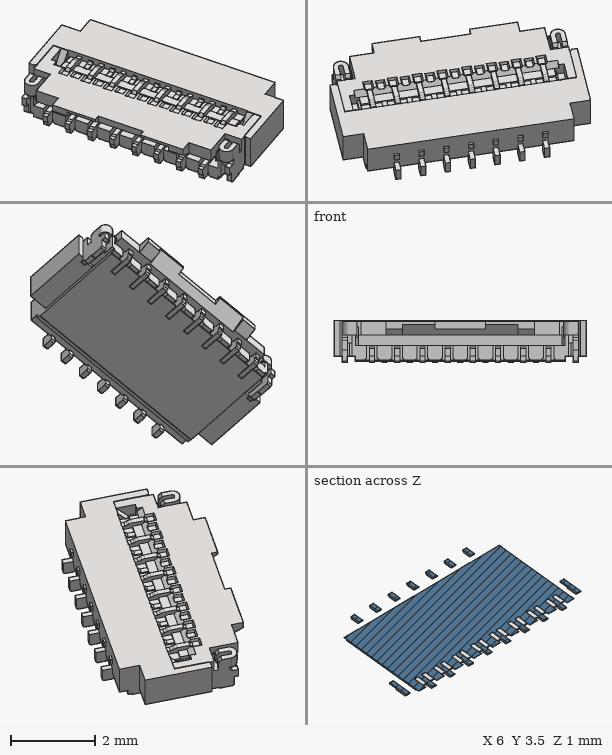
import cadquery as cq


WIDTH = 6.0
HEIGHT = 1.0
FRONT_Y = -1.75
REAR_Y = 1.75
OVERLAP = 0.05

CORE_HALF = 2.5
CORE_REAR_Y = 1.5
CORE_BOTTOM = 0.03
CORE_FRONT_Y = -1.35
DECK_Z = 0.65
REAR_STEP_Z = 0.2
REAR_STEP_Y = 1.29
REAR_FOOT_Z = 0.06
REAR_FOOT_Y = 1.2
EAR_REAR_Y = 1.0
EAR_FRONT_Y = -0.65
EAR_BOTTOM = 0.147
EAR_BEVEL = 0.05
CHEEK_HALF = 2.57
FRONT_TOE_Z = 0.06
FRONT_TOE_Y = -1.25
SHELF_BOTTOM = 0.47
SHELF_FRONT_Y = -1.25
SHELF_WALL_HALF = 2.635
SHELF_WALL_Y = -1.1

RECESS_BACK_Y = -1.0
RECESS_BOTTOM = 0.4
RECESS_FRONT_HALF = 2.49
RECESS_BACK_HALF = 2.42
SLOT_BACK_Y = -0.95
SLOT_WIDTH = 0.25
SLOT_FLARE = 0.05

LOCK_TOP = 0.98
LOCK_HALF = 2.81
LOCK_REAR_Y = 0.228
ARM_FRONT_Y = -0.752
LOCK_MID_HALF = 2.364
LOCK_MID_Y = -1.457
FLAP_HALF = 1.767
FLAP_LIP_Z = 0.8
RELIEF_HALF = 1.377
RELIEF_LIP_Z = 0.91
RELIEF_BACK_Y = -1.4
NOTCH_HALF = 0.605
NOTCH_Y = -1.6

RIB_HALF = 2.42
RIB_TOP_Y = -1.3
RIB_TOP_Z = 0.84

WINDOW_HALF = 2.416
WINDOW_FLOOR_HALF = 2.364
WINDOW_REAR_Y = 0.242
WINDOW_STEP_Y = -0.03
WINDOW_FRONT_Y = -0.25
FLOOR_REAR_Z = 0.815
FLOOR_FRONT_Z = 0.865
BEVEL_HALF = 2.47
BEVEL_FRONT_Y = -0.39
HINGE_HALF = 2.6
HINGE_RAMP_Y = -0.06
LEDGE_Z = 0.76

POCKET_BACK_Y = -0.32
POCKET_DEPTH = 0.06
POCKET_TAPER = 30
POCKET_CORNER = 0.045
FRONT_POCKET_WIDTH = 0.235
FRONT_POCKET_Y = -0.61
REAR_POCKET_WIDTH = 0.225
REAR_POCKET_Y = -0.585

PITCH = 0.6
FRONT_COUNT = 8
REAR_COUNT = FRONT_COUNT - 1
CONTACT_WIDTH = 0.125
BEAM_ROOT_Z = FLOOR_REAR_Z - OVERLAP
BEAM_REAR_Y = WINDOW_REAR_Y + OVERLAP
FRONT_BEAM_REAR_Z = 0.92
FRONT_BEAM_RISE = [
    (0.15, FRONT_BEAM_REAR_Z),
    (0.094, 0.94),
    (0.05, 0.965),
    (-0.015, LOCK_TOP),
]
FRONT_BEAM_BEND_Y = -0.33
FRONT_BEAM_TIP_Y = -0.41
FRONT_TAIL_TIP_Y = -1.5
FRONT_TAIL_REAR_Z = 0.37
FRONT_TAIL_TOP = 0.33
FRONT_TAIL_RAMP_Y = -1.36
FRONT_TAIL_STEP_Z = 0.16
FRONT_TAIL_TOE_Y = -1.46
REAR_BEAM_HEEL_Y = 0.21
REAR_BEAM_HEEL_Z = 0.905
REAR_BEAM_FLAT_Y = 0.15
REAR_BEAM_FLAT_Z = 0.85
REAR_TAIL_TOP = 0.37
REAR_TAIL_HEEL_Y = 1.46
TAIL_BEVEL = 0.04
STUB_TIP_Y = 1.55
STUB_BOTTOM = 0.52
STUB_TOP = 0.68
SOLDER_REAR_Y = -0.89

CLIP_THICKNESS = 0.125
CLIP_FRONT_Y = -1.352
CLIP_BEND_RADIUS = 0.18
CLIP_LEG_Y = -0.86
CLIP_LEG_BEVEL = 0.08
CLIP_BEND_BOTTOM = 0.65
CLIP_FOOT_TOP = 0.53
CLIP_FOOT_BEVEL = 0.06
CLIP_NOTCH_Y = -1.14
CLIP_STEP_Z = 0.3
CLIP_STEP_Y = -1.25
CLIP_TOE_BEVEL = 0.04
CLIP_ROOT_Y = -0.53
CLIP_ROOT_Z = 0.115
CLIP_ROOT_BEVEL = 0.04

FRONT_XS = [(i - (FRONT_COUNT - 1) / 2) * PITCH for i in range(FRONT_COUNT)]
REAR_XS = [(i - (REAR_COUNT - 1) / 2) * PITCH for i in range(REAR_COUNT)]


def block(x0, x1, y0, y1, z0, z1):
    """Box given by its limits on each axis."""
    return cq.Workplane("XY").box(x1 - x0, y1 - y0, z1 - z0, centered=False).translate((x0, y0, z0))


def centred_block(half, y0, y1, z0, z1):
    """Box symmetric about X = 0."""
    return block(-half, half, y0, y1, z0, z1)


def side_profile(points, x0, x1):
    """(Y, Z) outline extruded along X from x0 to x1."""
    return cq.Workplane("YZ").polyline(points).close().extrude(x1 - x0).translate((x0, 0, 0))


def plan_profile(points, z0, z1):
    """(X, Y) outline extruded from z0 up to z1."""
    return cq.Workplane("XY").polyline(points).close().extrude(z1 - z0).translate((0, 0, z0))


def both_sides(piece):
    """The piece together with its mirror image about X = 0."""
    return piece.union(piece.mirror("YZ"))


def make_housing():
    core = side_profile(
        [
            (LOCK_REAR_Y, HEIGHT),
            (CORE_REAR_Y, HEIGHT),
            (CORE_REAR_Y, REAR_STEP_Z),
            (REAR_STEP_Y, REAR_STEP_Z),
            (REAR_STEP_Y, REAR_FOOT_Z),
            (REAR_FOOT_Y, REAR_FOOT_Z),
            (REAR_FOOT_Y, CORE_BOTTOM),
            (FRONT_TOE_Y, CORE_BOTTOM),
            (FRONT_TOE_Y, FRONT_TOE_Z),
            (CORE_FRONT_Y, FRONT_TOE_Z),
            (CORE_FRONT_Y, DECK_Z),
            (LOCK_REAR_Y, DECK_Z),
        ],
        -CORE_HALF,
        CORE_HALF,
    )
    ear_half = WIDTH / 2
    ear = plan_profile(
        [
            (CORE_HALF - OVERLAP, EAR_REAR_Y),
            (ear_half, EAR_REAR_Y),
            (ear_half, EAR_FRONT_Y),
            (LOCK_HALF + EAR_BEVEL, EAR_FRONT_Y),
            (LOCK_HALF, EAR_FRONT_Y + EAR_BEVEL),
            (CORE_HALF - OVERLAP, EAR_FRONT_Y + EAR_BEVEL),
        ],
        EAR_BOTTOM,
        HEIGHT,
    )
    lock_bed = block(0, LOCK_HALF, ARM_FRONT_Y, LOCK_REAR_Y, DECK_Z, HEIGHT)
    cheek = block(CORE_HALF - OVERLAP, CHEEK_HALF, CORE_FRONT_Y, EAR_FRONT_Y, EAR_BOTTOM, DECK_Z)
    shelf_half = LOCK_HALF - CLIP_THICKNESS
    shelf = block(CORE_HALF, shelf_half, SHELF_FRONT_Y, EAR_FRONT_Y + EAR_BEVEL, SHELF_BOTTOM, DECK_Z)
    shelf_wall = block(CORE_HALF, SHELF_WALL_HALF, SHELF_WALL_Y, EAR_FRONT_Y, EAR_BOTTOM, DECK_Z)
    end = ear.cut(lock_bed).union(cheek).union(shelf).union(shelf_wall)
    return core.union(both_sides(end))


def front_recess():
    return plan_profile(
        [
            (-RECESS_FRONT_HALF, CORE_FRONT_Y),
            (-RECESS_BACK_HALF, RECESS_BACK_Y),
            (RECESS_BACK_HALF, RECESS_BACK_Y),
            (RECESS_FRONT_HALF, CORE_FRONT_Y),
        ],
        RECESS_BOTTOM,
        DECK_Z,
    )


def contact_slot(x):
    half = SLOT_WIDTH / 2
    flared = half + SLOT_FLARE
    outline = [
        (x - half, RECESS_BOTTOM),
        (x - half, REAR_FOOT_Z + SLOT_FLARE),
        (x - flared, REAR_FOOT_Z),
        (x + flared, REAR_FOOT_Z),
        (x + half, REAR_FOOT_Z + SLOT_FLARE),
        (x + half, RECESS_BOTTOM),
    ]
    length = SLOT_BACK_Y - CORE_FRONT_Y
    return cq.Workplane("XZ", origin=(0, SLOT_BACK_Y, 0)).polyline(outline).close().extrude(length)


def make_lock_plate():
    arms = centred_block(LOCK_HALF, ARM_FRONT_Y, LOCK_REAR_Y, DECK_Z, LOCK_TOP)
    middle = centred_block(LOCK_MID_HALF, LOCK_MID_Y, ARM_FRONT_Y, DECK_Z, LOCK_TOP)
    flap = side_profile(
        [
            (ARM_FRONT_Y, LOCK_TOP),
            (FRONT_Y, LOCK_TOP),
            (FRONT_Y, FLAP_LIP_Z),
            (LOCK_MID_Y, DECK_Z),
            (ARM_FRONT_Y, DECK_Z),
        ],
        -FLAP_HALF,
        FLAP_HALF,
    )
    relief = side_profile(
        [(FRONT_Y, RELIEF_LIP_Z), (RELIEF_BACK_Y, DECK_Z), (FRONT_Y, DECK_Z)],
        -RELIEF_HALF,
        RELIEF_HALF,
    )
    notch = centred_block(NOTCH_HALF, FRONT_Y, NOTCH_Y, DECK_Z, LOCK_TOP)
    return arms.union(middle).union(flap).cut(relief).cut(notch)


def make_clip_ribs():
    """Thin ribs with sloped fronts, standing against the inner clip legs."""
    rib = side_profile(
        [
            (ARM_FRONT_Y, RIB_TOP_Z),
            (RIB_TOP_Y, RIB_TOP_Z),
            (CORE_FRONT_Y, DECK_Z),
            (CORE_FRONT_Y, DECK_Z - OVERLAP),
            (ARM_FRONT_Y, DECK_Z - OVERLAP),
        ],
        RIB_HALF,
        LOCK_HALF - 2 * CLIP_BEND_RADIUS,
    )
    return both_sides(rib)


def window_cut():
    rear = centred_block(WINDOW_HALF, WINDOW_STEP_Y, WINDOW_REAR_Y, FLOOR_REAR_Z, HEIGHT)
    front = centred_block(WINDOW_HALF, WINDOW_FRONT_Y, WINDOW_STEP_Y, FLOOR_FRONT_Z, HEIGHT)
    bevel = side_profile(
        [(WINDOW_FRONT_Y, FLOOR_FRONT_Z), (WINDOW_FRONT_Y, LOCK_TOP), (BEVEL_FRONT_Y, LOCK_TOP)],
        -BEVEL_HALF,
        BEVEL_HALF,
    )
    return rear.union(front).union(bevel)


def hinge_hollow():
    ramp = side_profile(
        [
            (LOCK_REAR_Y, LOCK_TOP),
            (HINGE_RAMP_Y, DECK_Z),
            (WINDOW_FRONT_Y, DECK_Z),
            (WINDOW_FRONT_Y, LOCK_TOP),
        ],
        WINDOW_HALF,
        HINGE_HALF,
    )
    ledge = block(WINDOW_FLOOR_HALF, WINDOW_HALF, WINDOW_FRONT_Y, WINDOW_REAR_Y, LEDGE_Z, HEIGHT)
    return both_sides(ramp.union(ledge))


def beam_pocket(x, width, front_y):
    half = width / 2
    outline = [
        (x - half, front_y),
        (x + half, front_y),
        (x + half, POCKET_BACK_Y - POCKET_CORNER),
        (x + half - POCKET_CORNER, POCKET_BACK_Y),
        (x - half + POCKET_CORNER, POCKET_BACK_Y),
        (x - half, POCKET_BACK_Y - POCKET_CORNER),
    ]
    plane = cq.Workplane("XY", origin=(0, 0, LOCK_TOP))
    return plane.polyline(outline).close().extrude(-POCKET_DEPTH, taper=POCKET_TAPER)


def contact_from(outline, x):
    """Flat contact cut from a (Y, Z) outline, centred on x."""
    return side_profile(outline, x - CONTACT_WIDTH / 2, x + CONTACT_WIDTH / 2)


def front_contact(x):
    beam = contact_from(
        [
            (BEAM_REAR_Y, BEAM_ROOT_Z),
            (BEAM_REAR_Y, FRONT_BEAM_REAR_Z),
            *FRONT_BEAM_RISE,
            (FRONT_BEAM_BEND_Y, LOCK_TOP),
            (FRONT_BEAM_TIP_Y, LOCK_TOP - POCKET_DEPTH),
            (FRONT_BEAM_TIP_Y, BEAM_ROOT_Z),
        ],
        x,
    )
    tail = contact_from(
        [
            (SLOT_BACK_Y + OVERLAP, FRONT_TAIL_REAR_Z),
            (FRONT_TAIL_RAMP_Y, FRONT_TAIL_REAR_Z),
            (FRONT_TAIL_RAMP_Y - TAIL_BEVEL, FRONT_TAIL_TOP),
            (FRONT_TAIL_TIP_Y, FRONT_TAIL_TOP),
            (FRONT_TAIL_TIP_Y, FRONT_TAIL_STEP_Z),
            (FRONT_TAIL_TOE_Y, FRONT_TAIL_STEP_Z),
            (FRONT_TAIL_TOE_Y, TAIL_BEVEL),
            (FRONT_TAIL_TOE_Y + TAIL_BEVEL, 0),
            (SOLDER_REAR_Y, 0),
            (SOLDER_REAR_Y, CORE_BOTTOM + OVERLAP),
            (SLOT_BACK_Y + OVERLAP, CORE_BOTTOM + OVERLAP),
        ],
        x,
    )
    return beam.union(tail)


def rear_contact(x):
    beam = contact_from(
        [
            (BEAM_REAR_Y, BEAM_ROOT_Z),
            (BEAM_REAR_Y, REAR_BEAM_HEEL_Z),
            (REAR_BEAM_HEEL_Y, REAR_BEAM_HEEL_Z),
            (REAR_BEAM_FLAT_Y, REAR_BEAM_FLAT_Z),
            (WINDOW_STEP_Y, REAR_BEAM_FLAT_Z),
            (WINDOW_STEP_Y, BEAM_ROOT_Z),
        ],
        x,
    )
    tail = contact_from(
        [
            (CORE_REAR_Y - OVERLAP, REAR_TAIL_TOP),
            (REAR_Y, REAR_TAIL_TOP),
            (REAR_Y, TAIL_BEVEL),
            (REAR_Y - TAIL_BEVEL, 0),
            (REAR_TAIL_HEEL_Y + TAIL_BEVEL, 0),
            (REAR_TAIL_HEEL_Y, TAIL_BEVEL),
            (REAR_TAIL_HEEL_Y, REAR_STEP_Z + OVERLAP),
            (CORE_REAR_Y - OVERLAP, REAR_STEP_Z + OVERLAP),
        ],
        x,
    )
    half = CONTACT_WIDTH / 2
    stub = block(x - half, x + half, CORE_REAR_Y - OVERLAP, STUB_TIP_Y, STUB_BOTTOM, STUB_TOP)
    return beam.union(tail).union(stub)


def make_clip():
    """Solder clip on the +X side: flat plate whose upper part is bent back in a U."""
    outer = LOCK_HALF
    inner = outer - 2 * CLIP_BEND_RADIUS
    middle = outer - CLIP_BEND_RADIUS
    bend_y = CLIP_FRONT_Y + CLIP_BEND_RADIUS
    plate_inner = outer - CLIP_THICKNESS
    gap_radius = CLIP_BEND_RADIUS - CLIP_THICKNESS

    bend = (
        cq.Workplane("XY", origin=(0, 0, CLIP_BEND_BOTTOM))
        .moveTo(outer, CLIP_LEG_Y)
        .lineTo(outer, bend_y)
        .threePointArc((middle, CLIP_FRONT_Y), (inner, bend_y))
        .lineTo(inner, CLIP_LEG_Y)
        .lineTo(inner + CLIP_THICKNESS, CLIP_LEG_Y)
        .lineTo(inner + CLIP_THICKNESS, bend_y)
        .threePointArc((middle, bend_y - gap_radius), (plate_inner, bend_y))
        .lineTo(plate_inner, CLIP_LEG_Y)
        .close()
        .extrude(LOCK_TOP - CLIP_BEND_BOTTOM)
    )
    leg_bevel = side_profile(
        [
            (CLIP_LEG_Y, LOCK_TOP),
            (CLIP_LEG_Y - CLIP_LEG_BEVEL, LOCK_TOP),
            (CLIP_LEG_Y, LOCK_TOP - CLIP_LEG_BEVEL),
        ],
        inner,
        outer,
    )
    plate = side_profile(
        [
            (CLIP_ROOT_Y, CLIP_BEND_BOTTOM),
            (CLIP_NOTCH_Y, CLIP_BEND_BOTTOM),
            (CLIP_NOTCH_Y, CLIP_FOOT_TOP + CLIP_FOOT_BEVEL),
            (CLIP_NOTCH_Y - CLIP_FOOT_BEVEL, CLIP_FOOT_TOP),
            (CLIP_FRONT_Y, CLIP_FOOT_TOP),
            (CLIP_FRONT_Y, CLIP_STEP_Z),
            (CLIP_STEP_Y, CLIP_STEP_Z),
            (CLIP_STEP_Y, CLIP_TOE_BEVEL),
            (CLIP_STEP_Y + CLIP_TOE_BEVEL, 0),
            (SOLDER_REAR_Y, 0),
            (SOLDER_REAR_Y, CORE_BOTTOM),
            (EAR_FRONT_Y, CORE_BOTTOM),
            (EAR_FRONT_Y, CLIP_ROOT_Z - CLIP_ROOT_BEVEL),
            (EAR_FRONT_Y + CLIP_ROOT_BEVEL, CLIP_ROOT_Z),
            (CLIP_ROOT_Y, CLIP_ROOT_Z),
        ],
        plate_inner,
        outer,
    )
    return bend.cut(leg_bevel).union(plate)


housing = make_housing().cut(front_recess())
for contact_x in FRONT_XS:
    housing = housing.cut(contact_slot(contact_x))

result = housing.union(make_lock_plate()).cut(window_cut()).cut(hinge_hollow())
for contact_x in FRONT_XS:
    result = result.cut(beam_pocket(contact_x, FRONT_POCKET_WIDTH, FRONT_POCKET_Y))
    result = result.union(front_contact(contact_x))
for contact_x in REAR_XS:
    result = result.cut(beam_pocket(contact_x, REAR_POCKET_WIDTH, REAR_POCKET_Y))
    result = result.union(rear_contact(contact_x))
result = result.union(make_clip_ribs()).union(both_sides(make_clip()))